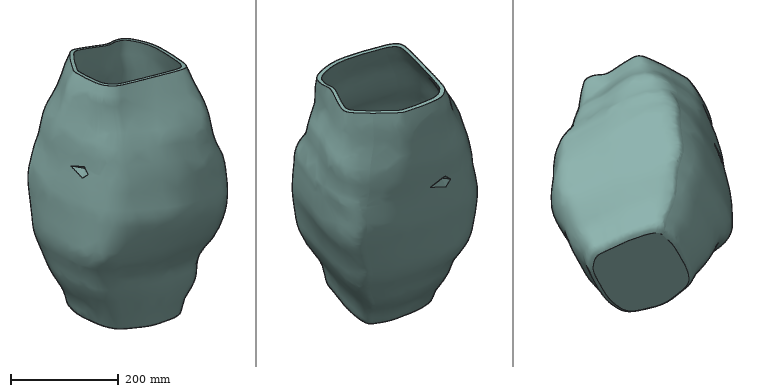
import cadquery as cq

HEIGHT = 500.0
WALL = 8.0
FLOOR = 10.0

LEVELS = [
    (0.0, -92.0, 71.0, -82.0, 82.0, 0.0),
    (10.0, -104.0, 76.0, -93.0, 92.0, 0.0),
    (41.5, -108.5, 83.5, -104.0, 103.0, 0.0),
    (64.0, -115.0, 91.5, -118.0, 116.5, 0.0),
    (84.5, -124.5, 94.5, -127.0, 121.5, 0.04),
    (125.0, -141.5, 102.5, -138.5, 130.5, 0.08),
    (145.5, -146.5, 118.0, -146.5, 138.5, 0.08),
    (167.5, -149.5, 134.0, -152.5, 147.0, 0.06),
    (208.5, -159.0, 154.5, -153.0, 154.0, 0.01),
    (262.5, -167.5, 167.0, -153.0, 154.0, -0.05),
    (292.0, -164.0, 161.0, -150.0, 154.5, -0.05),
    (312.5, -164.0, 159.0, -146.5, 151.0, -0.06),
    (355.0, -159.0, 149.5, -143.5, 132.5, -0.12),
    (396.0, -157.0, 137.0, -138.5, 123.0, -0.15),
    (437.0, -141.5, 113.5, -129.0, 117.0, -0.15),
    (470.0, -134.5, 94.0, -121.0, 104.5, -0.06),
    (490.0, -130.0, 83.0, -113.0, 98.0, -0.02),
    (HEIGHT, -127.5, 77.0, -108.5, 94.5, 0.0),
]

BODY_SHAPE = [
    (-1.0, -0.2), (-0.95, -0.76), (-0.62, -0.95), (-0.2, -1.0),
    (0.35, -0.98), (0.7, -0.84), (0.88, -0.5), (1.0, -0.1),
    (0.97, 0.38), (0.84, 0.76), (0.4, 0.97), (-0.15, 1.0),
    (-0.57, 0.96), (-0.87, 0.74), (-0.93, 0.45), (-0.97, 0.12),
]
RIM_SHAPE = [
    (-0.99, -0.25), (-0.88, -0.5), (-0.28, -0.9), (0.0, -1.0),
    (0.63, -1.0), (0.88, -0.85), (0.95, -0.6), (0.98, 0.0),
    (1.0, 0.58), (0.9, 0.83), (0.45, 0.94), (-0.18, 1.0),
    (-0.58, 0.93), (-0.86, 0.77), (-0.9, 0.55), (-0.85, 0.3),
]
SEAM_START = 3
RIM_BLEND_START = 300.0

DENT_POINTS = [(-12.5, 330.0), (42.5, 350.0), (75.0, 317.5), (37.5, 308.0)]
DENT_APEX = (32.5, -134.5, 334.0)
DENT_OUTER_Y = -147.0


def level_outline(level, inset):
    """Corner points of one level's outline, drawn in from its limits by inset."""
    height, left, right, front, back, fullness = level
    blend = max(0.0, (height - RIM_BLEND_START) / (HEIGHT - RIM_BLEND_START))
    center_x = (left + right) / 2
    center_y = (front + back) / 2
    half_x = (right - left) / 2 - inset
    half_y = (back - front) / 2 - inset
    points = []
    for body, rim in zip(BODY_SHAPE, RIM_SHAPE):
        shape_x = body[0] + blend * (rim[0] - body[0])
        shape_y = body[1] + blend * (rim[1] - body[1])
        corner_nearness = max(0.0, -shape_x * shape_y)
        swell = 1 + fullness * corner_nearness
        point_x = center_x + half_x * shape_x * swell
        point_y = center_y + half_y * shape_y * swell
        points.append(cq.Vector(point_x, point_y, height))
    return add_midpoints(points)


def add_midpoints(points):
    """Double the points of a closed outline along a smooth cubic curve."""
    refined = []
    count = len(points)
    for index in range(count):
        start = points[index]
        end = points[(index + 1) % count]
        neighbours = points[index - 1] + points[(index + 2) % count]
        refined += [start, ((start + end) * 9 - neighbours) / 16]
    return refined


def polygon_face(*corners):
    return cq.Face.makeFromWires(cq.Wire.makePolygon(corners, close=True))


def solid_from_faces(faces):
    return cq.Solid.makeSolid(cq.Shell.makeShell(faces))


def outline_wire(points):
    """Two splines that meet at the front-left and back-right seams."""
    loop = points[SEAM_START:] + points[:SEAM_START + 1]
    half = len(points) // 2
    edges = []
    for run in (loop[:half + 1], loop[half:]):
        edges.append(cq.Edge.makeSpline(run, parameters=range(len(run))))
    return cq.Wire.assembleEdges(edges)


def lofted_body(levels, inset):
    return cq.Solid.makeLoft([outline_wire(level_outline(level, inset)) for level in levels])


def front_dent():
    """Pyramid that points into the front wall."""
    corners = [cq.Vector(x, DENT_OUTER_Y, z) for x, z in DENT_POINTS]
    apex = cq.Vector(*DENT_APEX)
    faces = [polygon_face(*corners)]
    for start, end in zip(corners, corners[1:] + corners[:1]):
        faces.append(polygon_face(start, end, apex))
    return solid_from_faces(faces)


outer = lofted_body(LEVELS, 0.0)

cavity_levels = [(FLOOR, *LEVELS[1][1:])] + LEVELS[2:]
cavity = lofted_body(cavity_levels, WALL)

result = cq.Workplane(outer).cut(cq.Workplane(cavity)).cut(cq.Workplane(front_dent()))